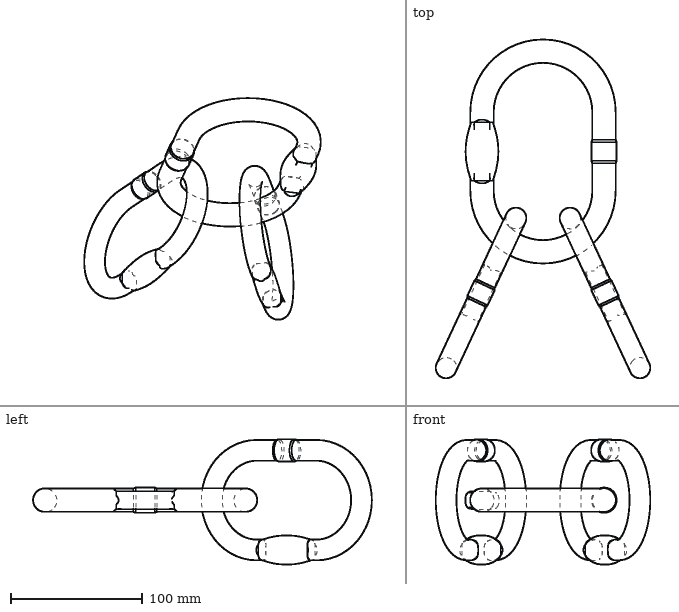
import cadquery as cq
import math

MASTER_WIRE = 18.0
MASTER_OPENING_WIDTH = 75.0
MASTER_OPENING_LENGTH = 135.0
MASTER_BARREL_LENGTH = 44.3

SUB_WIRE = 16.0
SUB_OPENING_WIDTH = 60.0
SUB_OPENING_LENGTH = 110.0
SUB_BARREL_LENGTH = 41.2

SUB_TILT = 25.0
SUB_CENTRE_X = 47.23
SUB_CENTRE_Y = -107.82

COLLAR_DIAMETER = 1.075
COLLAR_CREST_LENGTH = 0.8
COLLAR_BASE_LENGTH = 1.0

SIDE_FACET_HALF_HEIGHT = 0.13
BARREL_MID_HALF_WIDTH = 0.7
BARREL_END_HALF_WIDTH = 0.46
FLAT_MID_HALF_WIDTH = 0.41
FLAT_END_HALF_WIDTH = 0.27

MARKING_HALF_HEIGHT = 6.8
RUN_OUT_ANGLE = 45.0


def wire_loop(wire, bend_radius, straight):
    """Round wire swept around an oblong centre line in the XY plane."""
    half = straight / 2
    path = (
        cq.Workplane("XY")
        .moveTo(-bend_radius, -half)
        .lineTo(-bend_radius, half)
        .threePointArc((0, half + bend_radius), (bend_radius, half))
        .lineTo(bend_radius, -half)
        .threePointArc((0, -half - bend_radius), (-bend_radius, -half))
        .close()
    )
    start = cq.Workplane("XZ", origin=(-bend_radius, -half, 0))
    return start.circle(wire / 2).sweep(path)


def weld_collar(wire, leg_x):
    """Raised ring with tapered ends around the leg at leg_x."""
    crest_half = wire * COLLAR_CREST_LENGTH / 2
    base_half = wire * COLLAR_BASE_LENGTH / 2
    crest_radius = wire * COLLAR_DIAMETER / 2
    profile = [
        (0, -base_half),
        (wire / 2, -base_half),
        (crest_radius, -crest_half),
        (crest_radius, crest_half),
        (wire / 2, base_half),
        (0, base_half),
    ]
    collar = cq.Workplane("XY").polyline(profile).close().revolve(360, (0, 0, 0), (0, 1, 0))
    return collar.translate((leg_x, 0, 0))


def marking_flat_cutter(wire, barrel_length, leg_x):
    """Blocks that cut the leg down to the marking faces, with sloped run-outs at both ends."""
    floor = MARKING_HALF_HEIGHT
    top = wire
    floor_half = barrel_length / 2
    top_half = floor_half + (top - floor) / math.tan(math.radians(RUN_OUT_ANGLE))
    block = (
        cq.Workplane("YZ")
        .polyline([(-floor_half, floor), (floor_half, floor), (top_half, top), (-top_half, top)])
        .close()
        .extrude(wire / 2, both=True)
    )
    blocks = block.union(block.mirror("XY"))
    return blocks.translate((leg_x, 0, 0))


def barrel_section(wire, y, half_width, flat_half_width):
    """Barrel cross-section at y: flat top and bottom, flat sides and rounded corners."""
    height = MARKING_HALF_HEIGHT
    facet = wire * SIDE_FACET_HALF_HEIGHT
    side = wire * half_width
    flat = wire * flat_half_width
    diagonal = math.sqrt(0.5)
    corner_x = flat + (side - flat) * diagonal
    corner_z = facet + (height - facet) * diagonal
    section = (
        cq.Workplane("XZ", origin=(0, y, 0))
        .moveTo(-flat, height)
        .lineTo(flat, height)
        .threePointArc((corner_x, corner_z), (side, facet))
        .lineTo(side, -facet)
        .threePointArc((corner_x, -corner_z), (flat, -height))
        .lineTo(-flat, -height)
        .threePointArc((-corner_x, -corner_z), (-side, -facet))
        .lineTo(-side, facet)
        .threePointArc((-corner_x, corner_z), (-flat, height))
        .close()
    )
    return section.val()


def forged_barrel(wire, barrel_length, leg_x):
    """Barrel that swells in the link plane between two narrower ends."""
    end_y = barrel_length / 2
    sections = [
        barrel_section(wire, -end_y, BARREL_END_HALF_WIDTH, FLAT_END_HALF_WIDTH),
        barrel_section(wire, 0, BARREL_MID_HALF_WIDTH, FLAT_MID_HALF_WIDTH),
        barrel_section(wire, end_y, BARREL_END_HALF_WIDTH, FLAT_END_HALF_WIDTH),
    ]
    return cq.Workplane("XY").add(cq.Solid.makeLoft(sections)).translate((leg_x, 0, 0))


def chain_link(wire, opening_width, opening_length, barrel_length):
    """Oblong link in the XY plane: barrel on the -X leg, weld collar on the +X leg."""
    bend_radius = (opening_width + wire) / 2
    straight = opening_length - opening_width
    return (
        wire_loop(wire, bend_radius, straight)
        .cut(marking_flat_cutter(wire, barrel_length, -bend_radius))
        .union(forged_barrel(wire, barrel_length, -bend_radius))
        .union(weld_collar(wire, bend_radius))
    )


master_link = chain_link(MASTER_WIRE, MASTER_OPENING_WIDTH, MASTER_OPENING_LENGTH, MASTER_BARREL_LENGTH)

flat_link = chain_link(SUB_WIRE, SUB_OPENING_WIDTH, SUB_OPENING_LENGTH, SUB_BARREL_LENGTH)
upright_link = flat_link.rotate((0, 0, 0), (0, 1, 0), -90)
sub_links = []
for side in (-1, 1):
    swung = upright_link.rotate((0, 0, 0), (0, 0, 1), side * SUB_TILT)
    sub_links.append(swung.translate((side * SUB_CENTRE_X, SUB_CENTRE_Y, 0)))

result = cq.Compound.makeCompound(
    [solid for link in (master_link, *sub_links) for solid in link.solids().vals()]
)